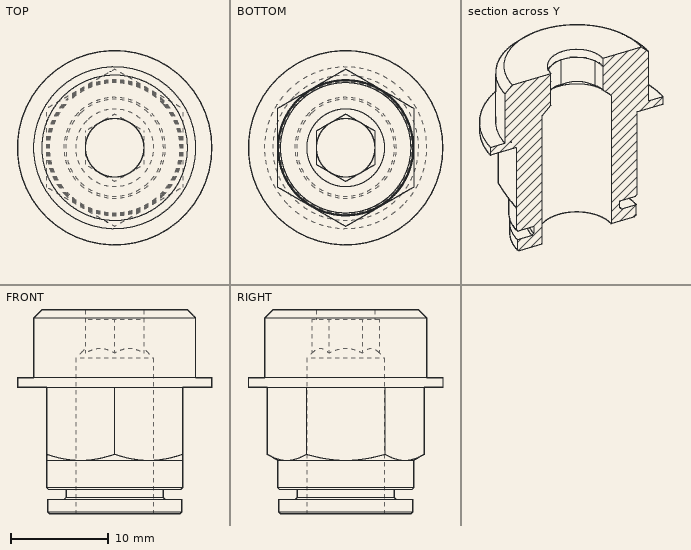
import cadquery as cq
import math

THREAD_DIAMETER = 16.66
FLANGE_DIAMETER = 20.0
COLLAR_DIAMETER = 14.0
NECK_DIAMETER = 10.0
RELEASE_RING_DIAMETER = 13.8

RELEASE_RING_LENGTH = 1.5
NECK_LENGTH = 1.0
COLLAR_LENGTH = 3.0
HEX_LENGTH = 7.5
FLANGE_LENGTH = 1.0
THREAD_LENGTH = 7.0

THREAD_CHAMFER = 0.85
SMALL_CHAMFER = 0.2
HEX_CHAMFER_ANGLE = 30.0

HEX_SIDES = 6
CORNER_DIRECTION = 90.0
HEX_ACROSS_FLATS = COLLAR_DIAMETER

MOUTH_DIAMETER = 6.0
MOUTH_DEPTH = 1.0
KEY_ACROSS_FLATS = MOUTH_DIAMETER
TUBE_BORE_DIAMETER = 8.0
CONE_TOP_DEPTH = 4.0
CONE_LENGTH = (TUBE_BORE_DIAMETER - MOUTH_DIAMETER) / 2

NECK_BASE = RELEASE_RING_LENGTH
COLLAR_BASE = NECK_BASE + NECK_LENGTH
HEX_BASE = COLLAR_BASE + COLLAR_LENGTH
FLANGE_BASE = HEX_BASE + HEX_LENGTH
THREAD_BASE = FLANGE_BASE + FLANGE_LENGTH
TOTAL_HEIGHT = THREAD_BASE + THREAD_LENGTH
MOUTH_BASE = TOTAL_HEIGHT - MOUTH_DEPTH
CONE_BASE = TOTAL_HEIGHT - CONE_TOP_DEPTH - CONE_LENGTH


def cylinder(diameter, base, length):
    return cq.Workplane("XY").workplane(offset=base).circle(diameter / 2).extrude(length)


def cone_solid(bottom_radius, top_radius, base, length):
    cone = cq.Solid.makeCone(bottom_radius, top_radius, length, pnt=cq.Vector(0, 0, base))
    return cq.Workplane(cone)


def hexagon(across_flats, base, length):
    """Hexagonal prism with two flats facing +X and -X."""
    across_corners = across_flats / math.cos(math.pi / HEX_SIDES)
    prism = cq.Workplane("XY").workplane(offset=base).polygon(HEX_SIDES, across_corners).extrude(length)
    return prism.rotate((0, 0, 0), (0, 0, 1), CORNER_DIRECTION)


def make_release_ring():
    ring = cylinder(RELEASE_RING_DIAMETER, 0, RELEASE_RING_LENGTH)
    return ring.faces("<Z").chamfer(SMALL_CHAMFER)


def make_neck():
    """Neck with a small cone where it meets the release ring."""
    neck = cylinder(NECK_DIAMETER, NECK_BASE, NECK_LENGTH)
    neck_radius = NECK_DIAMETER / 2
    foot = cone_solid(neck_radius + SMALL_CHAMFER, neck_radius, NECK_BASE, SMALL_CHAMFER)
    return neck.union(foot)


def make_collar():
    collar = cylinder(COLLAR_DIAMETER, COLLAR_BASE, COLLAR_LENGTH)
    return collar.faces("<Z").chamfer(SMALL_CHAMFER)


def make_wrench_hexagon():
    """Hexagon whose lower corners are trimmed by a cone starting at the collar edge."""
    start_radius = HEX_ACROSS_FLATS / 2
    end_radius = start_radius + HEX_LENGTH / math.tan(math.radians(HEX_CHAMFER_ANGLE))
    cone = cone_solid(start_radius, end_radius, HEX_BASE, HEX_LENGTH)
    return hexagon(HEX_ACROSS_FLATS, HEX_BASE, HEX_LENGTH).intersect(cone)


def make_flange():
    return cylinder(FLANGE_DIAMETER, FLANGE_BASE, FLANGE_LENGTH)


def make_thread_body():
    body = cylinder(THREAD_DIAMETER, THREAD_BASE, THREAD_LENGTH)
    return body.faces(">Z").chamfer(THREAD_CHAMFER)


def make_passage():
    """Tube bore from below, narrowing through a cone into the key socket and the round mouth."""
    tube_bore = cylinder(TUBE_BORE_DIAMETER, 0, CONE_BASE)
    cone = cone_solid(TUBE_BORE_DIAMETER / 2, MOUTH_DIAMETER / 2, CONE_BASE, CONE_LENGTH)
    key_socket = hexagon(KEY_ACROSS_FLATS, CONE_BASE, MOUTH_BASE - CONE_BASE)
    mouth = cylinder(MOUTH_DIAMETER, MOUTH_BASE, MOUTH_DEPTH)
    return tube_bore.union(cone).union(key_socket).union(mouth)


outer_body = (
    make_release_ring()
    .union(make_neck())
    .union(make_collar())
    .union(make_wrench_hexagon())
    .union(make_flange())
    .union(make_thread_body())
)

result = outer_body.cut(make_passage())